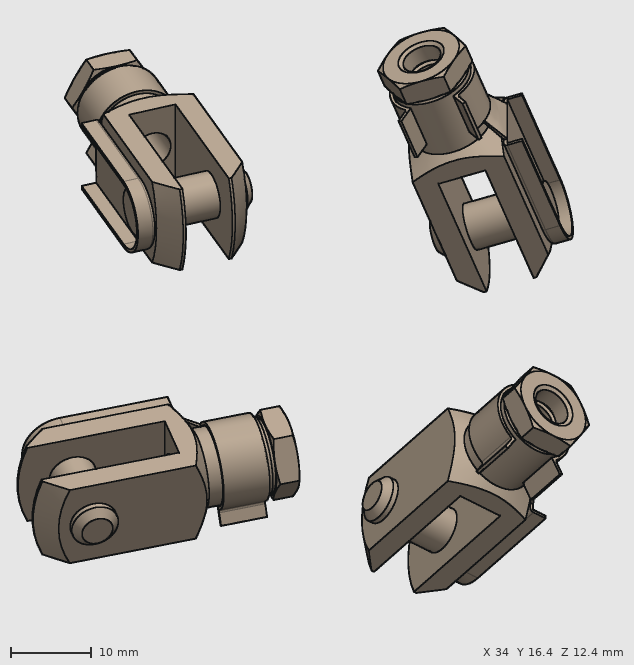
import cadquery as cq
import math


bore_diameter = 4.92
countersink_diameter = 6.0
countersink_depth = 0.3

nut_thickness = 3.0
nut_across_flats = 10.0
nut_corner_diameter = nut_across_flats / math.cos(math.pi / 6)
nut_chamfer_length = 0.27

neck_diameter = 10.0
neck_start = nut_thickness
neck_chamfer_length = 0.48
neck_chamfer_depth = 0.3
fork_width = 12.02
fork_start = 11.68
fork_end = 33.95
shoulder_angle = math.radians(30)
slot_start = 15.0
slot_width = 6.18
tip_axis_x = 18.33
tip_radius = fork_end - tip_axis_x
tip_bevel = 2.55

pin_diameter = 6.0
pin_x = 26.92
pin_end_y = 7.77
pin_head_y = -7.45
pin_chamfer = 1.02

sheet = 0.45
plate_start = 13.0
plate_back_y = -6.25
plate_front_y = plate_back_y - sheet
rim_front_y = -8.62
rim_radius = 4.9
rim_bend_radius = 0.45
band_start = 4.0
band_end = 9.95
band_outer_radius = 5.57
band_inner_radius = band_outer_radius - sheet
leg_angle = math.radians(30)
leg_inner_offset = 0.27
leg_outer_offset = leg_inner_offset + sheet
leg_bend_radius = 0.37
leg_end = 7.57
bridge_band_half_angle = math.radians(31)
bridge_plate_half_width = 3.6


def revolve_about_x(points):
    """Turn an (x, radius) outline about the thread axis."""
    return cq.Workplane("XY").polyline(points).close().revolve(360, (0, 0, 0), (1, 0, 0))


def thread_bore(start, end, countersink_far_end):
    """Cutter for the bore, countersunk at its start and, if asked, at its end."""
    bore_radius = bore_diameter / 2
    sink_radius = countersink_diameter / 2
    points = [(start, 0), (start, sink_radius), (start + countersink_depth, bore_radius)]
    if countersink_far_end:
        points += [(end - countersink_depth, bore_radius), (end, sink_radius)]
    else:
        points += [(end, bore_radius)]
    points += [(end, 0)]
    return revolve_about_x(points)


def make_nut():
    hexagon = cq.Workplane("YZ").polygon(6, nut_corner_diameter).extrude(nut_thickness)
    flat_radius = nut_across_flats / 2
    corner_radius = nut_corner_diameter / 2
    chamfer_envelope = revolve_about_x([
        (0, 0),
        (0, flat_radius),
        (nut_chamfer_length, corner_radius),
        (nut_thickness - nut_chamfer_length, corner_radius),
        (nut_thickness, flat_radius),
        (nut_thickness, 0),
    ])
    return hexagon.intersect(chamfer_envelope).cut(thread_bore(0, nut_thickness, True))


def make_fork_tip_envelope():
    """Disc about a Y axis whose bevelled rim shapes the ends of both fork arms."""
    half_width = fork_width / 2
    bevelled_radius = tip_radius - tip_bevel
    bevel_start = half_width - tip_bevel
    return (
        cq.Workplane("XY")
        .polyline([
            (0, -half_width),
            (bevelled_radius, -half_width),
            (tip_radius, -bevel_start),
            (tip_radius, bevel_start),
            (bevelled_radius, half_width),
            (0, half_width),
        ])
        .close()
        .revolve(360, (0, 0, 0), (0, 1, 0))
        .translate((tip_axis_x, 0, 0))
    )


def make_fork():
    length = fork_end - fork_start
    head = cq.Workplane("XY").box(length, fork_width, fork_width).translate((fork_start + length / 2, 0, 0))
    head = head.intersect(make_fork_tip_envelope())

    neck_radius = neck_diameter / 2
    envelope_radius = fork_width
    shoulder_length = (envelope_radius - neck_radius) * math.tan(shoulder_angle)
    shoulder_envelope = revolve_about_x([
        (fork_start, 0),
        (fork_start, neck_radius),
        (fork_start + shoulder_length, envelope_radius),
        (fork_end, envelope_radius),
        (fork_end, 0),
    ])
    head = head.intersect(shoulder_envelope)

    neck = revolve_about_x([
        (neck_start, 0),
        (neck_start, neck_radius - neck_chamfer_depth),
        (neck_start + neck_chamfer_length, neck_radius),
        (slot_start, neck_radius),
        (slot_start, 0),
    ])
    slot_length = fork_end - slot_start
    slot = (
        cq.Workplane("XY")
        .box(slot_length, slot_width, fork_width)
        .translate((slot_start + slot_length / 2, 0, 0))
    )
    pin_hole = (
        cq.Workplane("XZ", origin=(pin_x, fork_width / 2, 0))
        .circle(pin_diameter / 2)
        .extrude(fork_width)
    )
    bore = thread_bore(neck_start, slot_start, False)
    return head.union(neck).cut(slot).cut(pin_hole).cut(bore)


def make_pin():
    return (
        cq.Workplane("XZ", origin=(pin_x, pin_end_y, 0))
        .circle(pin_diameter / 2)
        .extrude(pin_end_y - pin_head_y)
        .faces(">Y")
        .chamfer(pin_chamfer)
    )


def round_ended_plate(radius, back_y, front_y):
    """Plate from plate_start to a half-round end about the pin axis."""
    return (
        cq.Workplane("XZ", origin=(0, back_y, 0))
        .moveTo(plate_start, radius)
        .lineTo(pin_x, radius)
        .threePointArc((pin_x + radius, 0), (pin_x, -radius))
        .lineTo(plate_start, -radius)
        .close()
        .extrude(back_y - front_y)
    )


def make_rimmed_plate():
    plate = round_ended_plate(rim_radius, plate_back_y, rim_front_y)
    bend_edges = plate.faces(">Y").edges("not(<X)")
    plate = bend_edges.fillet(rim_bend_radius)
    return plate.cut(round_ended_plate(rim_radius - sheet, plate_front_y, rim_front_y))


def leg_point(offset, along, side):
    """(y, z) of a point on a leg; side is +1 or -1 for the +Y or -Y leg."""
    y = offset * math.cos(leg_angle) + along * math.sin(leg_angle)
    z = offset * math.sin(leg_angle) - along * math.cos(leg_angle)
    return side * y, z


def make_band():
    """Open ring around the neck that ends in two flared legs."""
    outer_root = math.sqrt(band_outer_radius**2 - leg_outer_offset**2)
    inner_root = math.sqrt(band_inner_radius**2 - leg_inner_offset**2)
    band = (
        cq.Workplane("YZ", origin=(band_start, 0, 0))
        .moveTo(*leg_point(leg_outer_offset, outer_root, 1))
        .threePointArc((0, band_outer_radius), leg_point(leg_outer_offset, outer_root, -1))
        .lineTo(*leg_point(leg_outer_offset, leg_end, -1))
        .lineTo(*leg_point(leg_inner_offset, leg_end, -1))
        .lineTo(*leg_point(leg_inner_offset, inner_root, -1))
        .threePointArc((0, band_inner_radius), leg_point(leg_inner_offset, inner_root, 1))
        .lineTo(*leg_point(leg_inner_offset, leg_end, 1))
        .lineTo(*leg_point(leg_outer_offset, leg_end, 1))
        .close()
        .extrude(band_end - band_start)
    )
    mid_x = (band_start + band_end) / 2
    for side in (1, -1):
        y, z = leg_point(leg_outer_offset, outer_root, side)
        bend_edge = band.edges("|X").edges(cq.NearestToPointSelector((mid_x, y, z)))
        band = bend_edge.fillet(leg_bend_radius)
    return band


def make_bridge():
    """Sheet that blends from the curved band to the flat plate."""
    cosine = math.cos(bridge_band_half_angle)
    sine = math.sin(bridge_band_half_angle)
    inner, outer = band_inner_radius, band_outer_radius
    half_width = bridge_plate_half_width
    return (
        cq.Workplane("YZ", origin=(band_end, 0, 0))
        .moveTo(-inner * cosine, -inner * sine)
        .threePointArc((-inner, 0), (-inner * cosine, inner * sine))
        .lineTo(-outer * cosine, outer * sine)
        .threePointArc((-outer, 0), (-outer * cosine, -outer * sine))
        .close()
        .workplane(offset=plate_start - band_end)
        .moveTo(plate_back_y, -half_width)
        .lineTo(plate_back_y, half_width)
        .lineTo(plate_front_y, half_width)
        .lineTo(plate_front_y, -half_width)
        .close()
        .loft(ruled=True)
    )


def make_clip(fork_body):
    """Spring clip with its pin; the bridge is relieved where it rests on the fork's shoulder."""
    bridge = make_bridge().cut(fork_body)
    return make_rimmed_plate().union(bridge).union(make_band()).union(make_pin())


nut = make_nut()
fork = make_fork()
clip = make_clip(fork)

bodies = [nut, fork, clip]
result = cq.Compound.makeCompound([body.solids().val() for body in bodies])